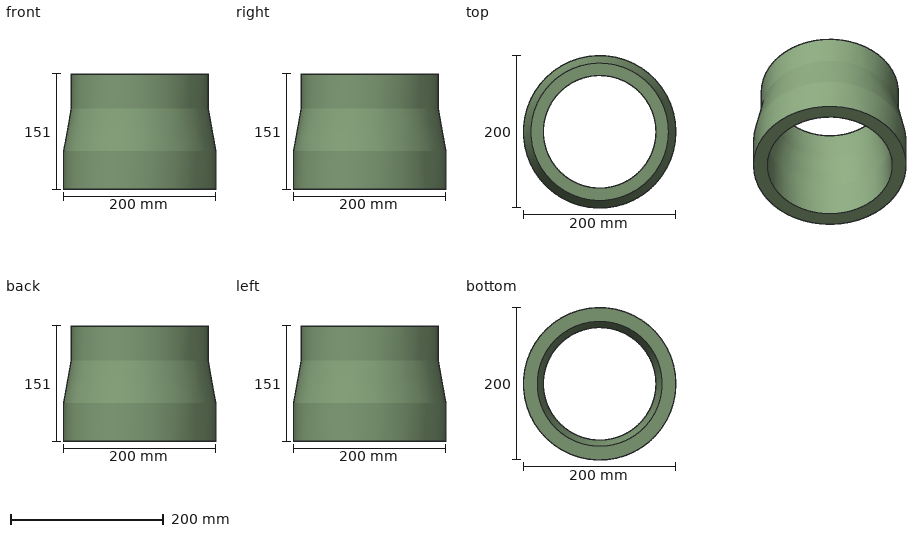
import cadquery as cq

large_diameter = 200.0
large_bore = 163.5
small_diameter = 180.0
small_bore = 147.2
total_height = 151.0

large_length = 50.0
small_length = 45.0
large_bore_length = 58.0
small_bore_length = 46.5


def reducer_solid(lower_diameter, lower_length, upper_diameter, upper_length):
    """Solid with a lower cylinder, a cone and an upper cylinder around Z."""
    lower_radius = lower_diameter / 2
    upper_radius = upper_diameter / 2
    return (
        cq.Workplane("XZ")
        .moveTo(0, 0)
        .lineTo(lower_radius, 0)
        .lineTo(lower_radius, lower_length)
        .lineTo(upper_radius, total_height - upper_length)
        .lineTo(upper_radius, total_height)
        .lineTo(0, total_height)
        .close()
        .revolve(360, (0, 0, 0), (0, 1, 0))
    )


outer_body = reducer_solid(large_diameter, large_length, small_diameter, small_length)
bore = reducer_solid(large_bore, large_bore_length, small_bore, small_bore_length)
result = outer_body.cut(bore)